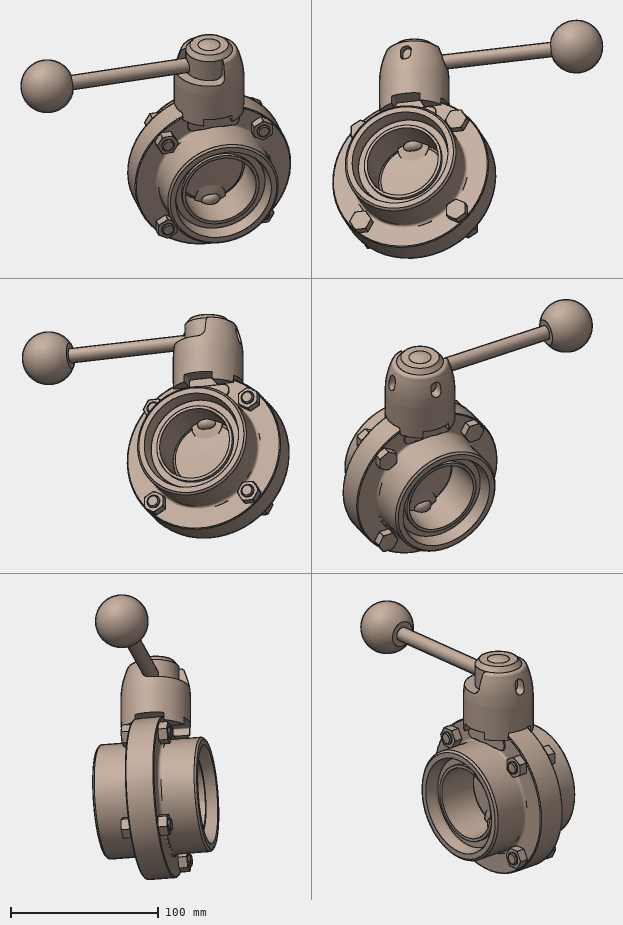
import cadquery as cq
import math


total_length = 187.1
total_height = 157.7
body_length = 72.0

body_half_length = body_length / 2
pipe_radius = 78.0 / 2
pipe_chamfer = 1.4
flange_radius = 109.8 / 2
flange_half_width = 10.0
flange_chamfer = 0.65
root_radius = 1.78

mouth_radius = 67.5 / 2
socket_radius = 63.8 / 2
mouth_taper_depth = 7.1
socket_depth = 9.4
collar_radius = 54.0 / 2
collar_depth = 6.7
bore_radius = 50.0 / 2

disc_rim_half_width = 0.4
disc_bevel = 2.2
disc_center_half_width = 3.4
disc_flat_radius = 2.2
hub_height = 22.3
hub_base_radius = 10.9
hub_base_x = 2.8
hub_end_radius = 4.3
hub_end_x = 4.1
stem_radius = 7.5
stem_start = 18.9
stem_end_round = 4.1

bolt_offset = 33.7
hex_width = 13.1
hex_face_diameter = 14.2
hex_chamfer_angle = 30
head_end = 15.7
nut_end = 16.0
bolt_end = 17.8
bolt_diameter = 8.8
bolt_chamfer = 0.85

pad_length = 36.3
pad_bottom = 38.5
pad_top = 47.5
pad_half_width = 11.0
pad_corner_radius = 4.0

cap_radius = 23.8
cap_bottom = 48.3
notch_width = 20.0
notch_top = 53.5
notch_corner_radius = 1.0
cap_curve_start = 72.5
cap_curve_middle = (22.0, 85.1)
cap_shoulder = (19.6, 92.8)
cap_shoulder_middle = (18.3, 94.7)
cap_top = 95.0
knob_radius = 15.9
knob_top = 98.6
knob_top_radius = 13.1
dome_radius = 7.5
dome_top = 100.1

lever_radius = 10.0 / 2
ball_radius = 18.0
ball_y = flange_radius + ball_radius - total_length
ball_z = total_height - flange_radius - ball_radius
ball_flat_diameter = 17.8

latch_width = 7.3
latch_height = 10.7


def cylinder_x(radius, start, end):
    return cq.Workplane("YZ", origin=(start, 0, 0)).circle(radius).extrude(end - start)


def make_body():
    root_mid = root_radius * (1 - math.sqrt(0.5))
    half = (
        cq.Workplane("XY")
        .moveTo(0, 0)
        .lineTo(0, flange_radius)
        .lineTo(flange_half_width - flange_chamfer, flange_radius)
        .lineTo(flange_half_width, flange_radius - flange_chamfer)
        .lineTo(flange_half_width, pipe_radius + root_radius)
        .threePointArc(
            (flange_half_width + root_mid, pipe_radius + root_mid),
            (flange_half_width + root_radius, pipe_radius),
        )
        .lineTo(body_half_length - pipe_chamfer, pipe_radius)
        .lineTo(body_half_length, pipe_radius - pipe_chamfer)
        .lineTo(body_half_length, mouth_radius)
        .lineTo(body_half_length - mouth_taper_depth, socket_radius)
        .lineTo(body_half_length - socket_depth, socket_radius)
        .lineTo(body_half_length - socket_depth, collar_radius)
        .lineTo(body_half_length - collar_depth, collar_radius)
        .lineTo(body_half_length - collar_depth, bore_radius)
        .lineTo(disc_rim_half_width, bore_radius)
        .lineTo(disc_rim_half_width + disc_bevel, bore_radius - disc_bevel)
        .lineTo(disc_center_half_width, disc_flat_radius)
        .lineTo(disc_center_half_width, 0)
        .close()
        .revolve(360, (0, 0, 0), (1, 0, 0))
    )
    return half.union(half.mirror("YZ"))


def make_upper_hub():
    """Conical boss on both disc faces, crossed by a round-ended stem."""
    cone = (
        cq.Workplane("XY")
        .lineTo(0, hub_base_radius)
        .lineTo(hub_base_x, hub_base_radius)
        .lineTo(hub_end_x, hub_end_radius)
        .lineTo(hub_end_x, 0)
        .close()
        .revolve(360, (0, 0, 0), (1, 0, 0))
        .translate((0, 0, hub_height))
    )
    cone = cone.union(cone.mirror("YZ"))
    cone = cone.intersect(cylinder_x(bore_radius, -hub_end_x, hub_end_x))
    stem = (
        cq.Workplane("XY", origin=(0, 0, stem_start))
        .circle(stem_radius)
        .extrude(collar_radius - stem_start)
        .faces("<Z").edges().fillet(stem_end_round)
    )
    return cone.union(stem.intersect(cylinder_x(collar_radius, -stem_radius, stem_radius)))


def hex_piece(height, turn):
    """Hexagon standing on z = 0 with its outer corners chamfered."""
    corner_radius = hex_width / math.sqrt(3)
    face_radius = hex_face_diameter / 2
    slope = math.tan(math.radians(hex_chamfer_angle))
    envelope = (
        cq.Workplane("XZ")
        .lineTo(face_radius + height / slope, 0)
        .lineTo(face_radius, height)
        .lineTo(0, height)
        .close()
        .revolve(360, (0, 0, 0), (0, 1, 0))
    )
    prism = cq.Workplane("XY").polygon(6, 2 * corner_radius).extrude(height)
    return prism.intersect(envelope).rotate((0, 0, 0), (0, 0, 1), turn)


def make_bolt(turn):
    """Bolt along X at the origin, head at -X and nut at +X."""
    head = hex_piece(head_end - flange_half_width, turn)
    head = head.rotate((0, 0, 0), (0, 1, 0), -90).translate((-flange_half_width, 0, 0))
    nut = hex_piece(nut_end - flange_half_width, turn)
    nut = nut.rotate((0, 0, 0), (0, 1, 0), 90).translate((flange_half_width, 0, 0))
    shank = cylinder_x(bolt_diameter / 2, -flange_half_width, bolt_end)
    shank = shank.faces(">X").edges().chamfer(bolt_chamfer)
    return shank.union(head).union(nut)


def make_pads():
    return (
        cq.Workplane("XY")
        .box(2 * pad_half_width, pad_length, pad_top - pad_bottom)
        .edges("|X").fillet(pad_corner_radius)
        .translate((0, 0, (pad_top + pad_bottom) / 2))
    )


def make_knob():
    """Central knob, full height, with a coned edge and a low dome."""
    dome_sag = dome_top - knob_top
    sphere_radius = (dome_radius**2 + dome_sag**2) / (2 * dome_sag)
    mid_radius = dome_radius / 2
    mid_height = dome_top - sphere_radius + math.sqrt(sphere_radius**2 - mid_radius**2)
    return (
        cq.Workplane("XZ")
        .moveTo(0, cap_curve_start)
        .lineTo(knob_radius, cap_curve_start)
        .lineTo(knob_radius, cap_top)
        .lineTo(knob_top_radius, knob_top)
        .lineTo(dome_radius, knob_top)
        .threePointArc((mid_radius, mid_height), (0, dome_top))
        .close()
        .revolve(360, (0, 0, 0), (0, 1, 0))
    )


def make_cap_shell():
    return (
        cq.Workplane("XZ")
        .moveTo(0, cap_bottom)
        .lineTo(cap_radius, cap_bottom)
        .lineTo(cap_radius, cap_curve_start)
        .threePointArc(cap_curve_middle, cap_shoulder)
        .threePointArc(cap_shoulder_middle, (knob_radius, cap_top))
        .lineTo(0, cap_top)
        .close()
        .revolve(360, (0, 0, 0), (0, 1, 0))
    )


def foot_notch_cutter():
    """Notch in the -X side of the cap foot, reaching in to the flange face."""
    depth = cap_radius
    height = 2 * (notch_top - cap_bottom)
    return (
        cq.Workplane("XY")
        .box(depth, notch_width, height)
        .edges("|X and >Z").fillet(notch_corner_radius)
        .translate((-flange_half_width - depth / 2, 0, notch_top - height / 2))
    )


def lever_travel_cutter():
    """Quarter-turn slot from -Y to +X, rounded along both end walls."""
    reach = 2 * cap_radius
    slot = (
        cq.Workplane("XY")
        .box(reach, reach, reach, centered=False)
        .translate((0, -reach, ball_z - lever_radius))
    )
    end_slot = (
        cq.Workplane("YZ")
        .moveTo(-lever_radius, ball_z)
        .threePointArc((0, ball_z - lever_radius), (lever_radius, ball_z))
        .lineTo(lever_radius, ball_z + reach)
        .lineTo(-lever_radius, ball_z + reach)
        .close()
        .extrude(reach)
    )
    return slot.union(end_slot).union(end_slot.rotate((0, 0, 0), (0, 0, 1), -90))


def latch_hole_cutter():
    """Oval hole running inward from the -X side."""
    return (
        cq.Workplane("YZ", origin=(-cap_radius, 0, ball_z))
        .slot2D(latch_height, latch_width, 90)
        .extrude(cap_radius)
    )


def make_cap():
    cap = make_cap_shell().cut(lever_travel_cutter())
    for turn in (0, 90, 180, 270):
        cap = cap.cut(foot_notch_cutter().rotate((0, 0, 0), (0, 0, 1), turn))
    for turn in (0, -90):
        cap = cap.cut(latch_hole_cutter().rotate((0, 0, 0), (0, 0, 1), turn))
    return cap.union(make_knob())


def make_lever():
    rod = cq.Workplane("XZ", origin=(0, 0, ball_z)).circle(lever_radius).extrude(-ball_y)
    ball_flat_distance = math.sqrt(ball_radius**2 - (ball_flat_diameter / 2) ** 2)
    ball_cut = (
        cq.Workplane("XZ", origin=(0, ball_y + ball_flat_distance, 0))
        .rect(4 * ball_radius, 4 * ball_radius)
        .extrude(-ball_radius)
        .translate((0, 0, ball_z))
    )
    ball = cq.Workplane("XY").sphere(ball_radius).translate((0, ball_y, ball_z))
    return rod.union(ball.cut(ball_cut))


upper_hub = make_upper_hub()
result = make_body().union(upper_hub).union(upper_hub.mirror("XY")).union(make_pads())
for side_y in (-1, 1):
    for side_z in (-1, 1):
        hex_turn = 30 if side_y * side_z < 0 else 0
        bolt = make_bolt(hex_turn).translate((0, side_y * bolt_offset, side_z * bolt_offset))
        result = result.union(bolt)
result = result.union(make_cap()).union(make_lever())